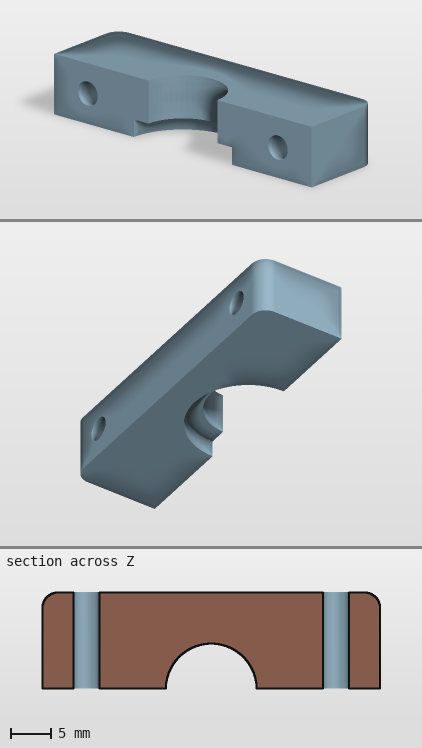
import cadquery as cq

length = 42.0
depth = 12.0
height = 8.0
corner_radius = 2.0

bore_diameter = 11.2
recess_diameter = 16.0
recess_height = 2.3

screw_diameter = 3.2
screw_spacing = 31.0


def seat_cutter(diameter, cut_height):
    """Upright cylinder on the split face, rising from the bottom."""
    return cq.Workplane("XY").circle(diameter / 2).extrude(cut_height)


def screw_cutters():
    """Two cylinders through the full depth at mid height."""
    half_spacing = screw_spacing / 2
    return (
        cq.Workplane("XZ")
        .pushPoints([(-half_spacing, height / 2), (half_spacing, height / 2)])
        .circle(screw_diameter / 2)
        .extrude(-depth)
    )


block = (
    cq.Workplane("XY")
    .box(length, depth, height, centered=(True, False, False))
    .edges("|Z and >Y")
    .fillet(corner_radius)
)

result = (
    block
    .cut(seat_cutter(bore_diameter, height))
    .cut(seat_cutter(recess_diameter, recess_height))
    .cut(screw_cutters())
)